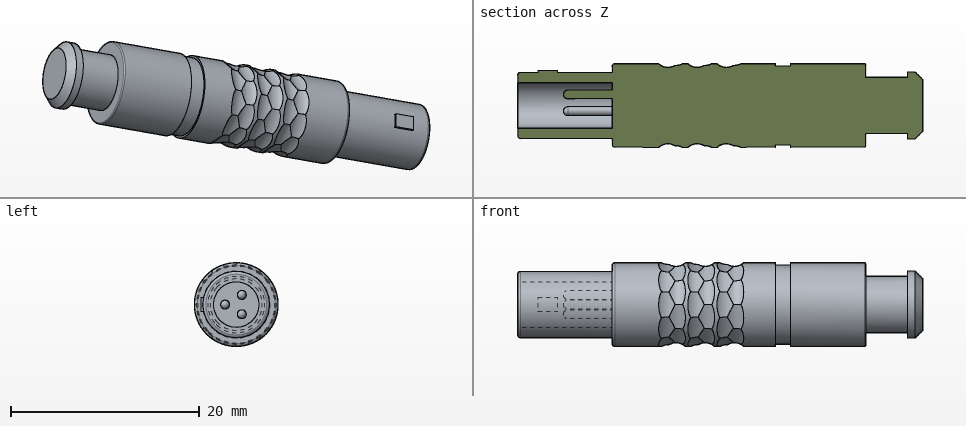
import cadquery as cq

LENGTH = 43.0

NOSE_LENGTH = 10.0
NOSE_RADIUS = 3.53
NOSE_ROUND = 0.3
BORE_RADIUS = 2.4
BORE_DEPTH = NOSE_LENGTH

BODY_DIAMETER = 8.9
BODY_RADIUS = BODY_DIAMETER / 2
FRONT_ROUND = 0.3
BACK_ROUND = 0.15
GROOVE_START = 27.35
GROOVE_END = 28.95
GROOVE_RADIUS = 4.2
BODY_END = 36.95

NECK_RADIUS = 3.0
COLLAR_START = 41.35
COLLAR_RADIUS = 3.55
COLLAR_CHAMFER = 0.8

KEY_START = 2.15
KEY_LENGTH = 2.1
KEY_WIDTH = 1.45
KEY_TOP_RADIUS = 3.75

PIN_COUNT = 3
PIN_RADIUS = 0.47
PIN_LENGTH = 5.15
PIN_CIRCLE_DIAMETER = 2.35

BAND_COUNT = 3
RINGS_PER_BAND = 2
BAND_PITCH = 3.1
FIRST_RING_X = 15.95
RING_SPACING = 0.85
DIMPLES_PER_RING = 10
DIMPLE_DEPTH = 0.4
DIMPLE_HALF_WIDTH = 1.0
DIMPLE_CUTTER_LENGTH = 3.85


def plain_cylinder(start, end, radius):
    """Cylinder about X from start to end."""
    return cq.Workplane("YZ").workplane(offset=start).circle(radius).extrude(end - start)


def turned_body():
    """Outer shape of the whole connector, stacked up along X."""
    nose = plain_cylinder(0, NOSE_LENGTH, NOSE_RADIUS).faces("<X").edges().fillet(NOSE_ROUND)
    sleeve = plain_cylinder(NOSE_LENGTH, GROOVE_START, BODY_RADIUS).faces("<X").edges().fillet(FRONT_ROUND)
    groove = plain_cylinder(GROOVE_START, GROOVE_END, GROOVE_RADIUS)
    back_nut = plain_cylinder(GROOVE_END, BODY_END, BODY_RADIUS).faces(">X").edges().fillet(BACK_ROUND)
    neck = plain_cylinder(BODY_END, COLLAR_START, NECK_RADIUS)
    collar = plain_cylinder(COLLAR_START, LENGTH, COLLAR_RADIUS).faces(">X").edges().chamfer(COLLAR_CHAMFER)
    return nose.union(sleeve).union(groove).union(back_nut).union(neck).union(collar)


def bore():
    return plain_cylinder(0, BORE_DEPTH, BORE_RADIUS)


def key():
    """Block from inside the nose wall out to just above its surface."""
    wall_middle = (BORE_RADIUS + NOSE_RADIUS) / 2
    height = KEY_TOP_RADIUS - wall_middle
    block = cq.Workplane("XY").box(KEY_LENGTH, height, KEY_WIDTH, centered=(False, False, True))
    return block.translate((KEY_START, wall_middle, 0))


def pins():
    """Round-nosed pins, evenly spaced, the first one towards +Y."""
    dome_x = BORE_DEPTH - PIN_LENGTH + PIN_RADIUS
    root_x = BORE_DEPTH + PIN_RADIUS
    pin = (
        plain_cylinder(dome_x, root_x, PIN_RADIUS)
        .union(cq.Workplane("XY").sphere(PIN_RADIUS).translate((dome_x, 0, 0)))
        .translate((0, PIN_CIRCLE_DIAMETER / 2, 0))
    )
    turns = [index * 360 / PIN_COUNT for index in range(PIN_COUNT)]
    return [pin.rotate((0, 0, 0), (1, 0, 0), turn).val() for turn in turns]


def dimple_cutters():
    """Cylinders lying tangent to the sleeve, each scooping out one dimple."""
    scoop_radius = (DIMPLE_HALF_WIDTH**2 + DIMPLE_DEPTH**2) / (2 * DIMPLE_DEPTH)
    axis_radius = BODY_RADIUS - DIMPLE_DEPTH + scoop_radius
    step = 360 / DIMPLES_PER_RING
    cutters = []
    for band in range(BAND_COUNT):
        for ring in range(RINGS_PER_BAND):
            ring_x = FIRST_RING_X + band * BAND_PITCH + ring * RING_SPACING
            start = cq.Vector(ring_x, -axis_radius, -DIMPLE_CUTTER_LENGTH / 2)
            cutter = cq.Solid.makeCylinder(scoop_radius, DIMPLE_CUTTER_LENGTH, start)
            for index in range(DIMPLES_PER_RING):
                angle = (index + ring / RINGS_PER_BAND) * step
                cutters.append(cutter.rotate(cq.Vector(0, 0, 0), cq.Vector(1, 0, 0), angle))
    return cutters


shell = turned_body().val().cut(*dimple_cutters())
shell = shell.cut(bore().val())
result = cq.Workplane(shell.fuse(key().val(), *pins()))